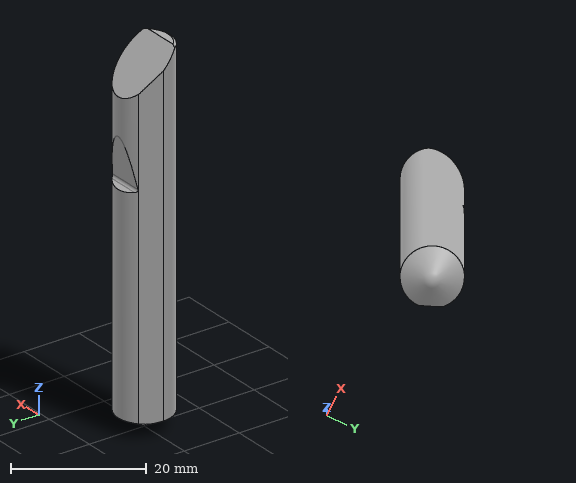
import cadquery as cq
import math

length = 63.5
diameter = 9.5
tip_slope = 30.0
top_bevel_start = 1.85
top_chamfer_radial = 0.45
top_chamfer_height = 0.25
flat_distance = 4.4
flat_direction = 157.0
notch_top_drop = 14.2
notch_length = 8.25
notch_depth = 1.35
notch_wall_rise = 0.5
notch_corner_radius = 0.5

radius = diameter / 2
tip_height = radius * math.tan(math.radians(tip_slope))


def pin_body():
    """Round pin with a conical tip below and a shallow chamfer on top."""
    profile = (
        cq.Workplane("XZ")
        .moveTo(0, 0)
        .lineTo(radius, tip_height)
        .lineTo(radius, length - top_chamfer_height)
        .lineTo(radius - top_chamfer_radial, length)
        .lineTo(0, length)
        .close()
    )
    return profile.revolve(360, (0, 0, 0), (0, 1, 0))


def top_bevel_cutter():
    """Wedge that slopes the top down toward +Y at 45 degrees."""
    bevel_y = top_bevel_start - radius
    bevel_run = diameter
    return (
        cq.Workplane("YZ")
        .moveTo(bevel_y, length)
        .lineTo(bevel_y + bevel_run, length)
        .lineTo(bevel_y + bevel_run, length - bevel_run)
        .close()
        .extrude(radius, both=True)
    )


def side_flat_cutter():
    """Block outside the long flat, running the full length of the pin."""
    return (
        cq.Workplane("XY")
        .box(radius, diameter, length, centered=(False, True, False))
        .translate((flat_distance, 0, 0))
        .rotate((0, 0, 0), (0, 0, 1), flat_direction)
    )


def notch_cutter():
    """Sloping notch across the +Y side, with a rounded inner lower corner."""
    notch_top = length - notch_top_drop
    notch_floor = notch_top - notch_length
    return (
        cq.Workplane("YZ")
        .moveTo(radius, notch_top)
        .lineTo(radius - notch_depth, notch_floor)
        .lineTo(radius, notch_floor - notch_wall_rise)
        .close()
        .extrude(radius, both=True)
        .edges("<Y")
        .fillet(notch_corner_radius)
    )


result = (
    pin_body()
    .cut(top_bevel_cutter())
    .cut(side_flat_cutter())
    .cut(notch_cutter())
)